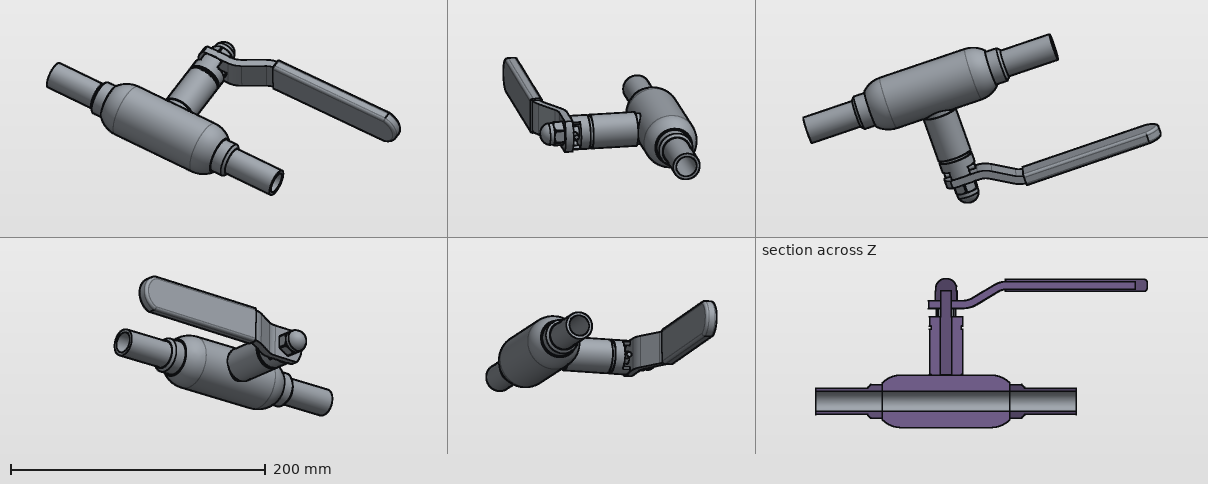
import cadquery as cq
import math


overall_length = 261
overall_width = 118.0

shell_diameter = 42.0
shell_radius = shell_diameter / 2
shell_straight_half = 35.2
shell_half_length = 50.0
pipe_radius = 10.7
bore_radius = 8.0
pipe_end_x = 102.3
collar_radius = 13.5
collar_chamfer = 2.3
collar_end_x = 61.5

neck_diameter = 27.0
neck_radius = neck_diameter / 2
neck_core_radius = 12.3
sleeve_bottom_y = shell_radius
sleeve_top_y = 56.7
head_bottom_y = 59.0
slot_floor_y = 66.5
neck_top_y = 72.8
tab_half_angle = 35
tab_inner_radius = 10.5

stem_radius = 5.0
pin_radius = 1.95
pin_half_length = 12.5
pin_y = 70.2

lever_thickness = 6.3
lever_width = 25.3
lever_half_width = lever_width / 2
lever_nose_x = -14.0
lever_shoulder_x = -9.1
lever_rise = 15.1
bend_angle = 31
bend_start_x = 18.0
bend_inner_radius = 14.5
lever_swing = 0.8

grip_thickness = 9.7
grip_width = 28.5
grip_half_width = grip_width / 2
grip_start_x = 46.5
grip_round_x = 148.5
grip_tip_x = overall_length - pipe_end_x
grip_edge_radius = 2.3

nut_half_flats = 8.5
nut_corner_radius = 9.7
nut_corner_drop = 1.0
nut_hex_height = 7.8
nut_collar_height = 3.5
nut_top_y = overall_width - shell_radius

lever_top_y = neck_top_y + lever_thickness
lever_mid_y = neck_top_y + lever_thickness / 2
grip_mid_y = lever_mid_y + lever_rise
hex_top_y = lever_top_y + nut_hex_height
dome_base_y = hex_top_y + nut_collar_height


def cylinder_y(radius, y_start, y_end):
    """Cylinder on the stem axis."""
    return cq.Workplane("XZ", origin=(0, y_start, 0)).circle(radius).extrude(y_start - y_end)


def cylinder_x(radius, half_length, y=0):
    """Cylinder along X, centred on the stem axis at height y."""
    return cq.Workplane("YZ").center(y, 0).circle(radius).extrude(half_length, both=True)


def swing(body):
    """Turn a lever part about the stem axis, raising its free end."""
    return body.rotate((0, 0, 0), (0, 1, 0), -lever_swing)


def make_shell():
    """Round housing with spherical shoulders and a straight bore."""
    shoulder = shell_half_length - shell_straight_half
    end_radius = math.sqrt(shell_radius**2 - shoulder**2)
    mid_x = shoulder / 2
    mid_radius = math.sqrt(shell_radius**2 - mid_x**2)
    return (
        cq.Workplane("XY")
        .moveTo(-shell_half_length, bore_radius)
        .lineTo(-shell_half_length, end_radius)
        .threePointArc((-shell_straight_half - mid_x, mid_radius), (-shell_straight_half, shell_radius))
        .lineTo(shell_straight_half, shell_radius)
        .threePointArc((shell_straight_half + mid_x, mid_radius), (shell_half_length, end_radius))
        .lineTo(shell_half_length, bore_radius)
        .close()
        .revolve(360, (0, 0, 0), (1, 0, 0))
    )


def make_pipe_end(side):
    """Pipe with a chamfered collar against the shell; side is -1 or +1 along X."""
    outline = [
        (shell_half_length, bore_radius),
        (shell_half_length, collar_radius),
        (collar_end_x - collar_chamfer, collar_radius),
        (collar_end_x, collar_radius - collar_chamfer),
        (collar_end_x, pipe_radius),
        (pipe_end_x, pipe_radius),
        (pipe_end_x, bore_radius),
    ]
    points = [(side * x, radius) for x, radius in outline]
    return cq.Workplane("XY").polyline(points).close().revolve(360, (0, 0, 0), (1, 0, 0))


def make_neck():
    """Neck saddled on the shell, with a groove and two radially cut tabs standing around the pin."""
    neck = (
        cylinder_y(neck_core_radius, 0, head_bottom_y)
        .union(cylinder_y(neck_radius, sleeve_bottom_y, sleeve_top_y))
        .union(cylinder_y(neck_radius, head_bottom_y, slot_floor_y))
        .cut(cylinder_x(shell_radius, shell_half_length))
    )
    tab_height = neck_top_y - slot_floor_y
    reach = 2 * neck_radius
    spread = reach * math.tan(math.radians(tab_half_angle))
    tab_wedges = (
        cq.Workplane("XZ", origin=(0, slot_floor_y, 0))
        .polyline([(0, 0), (spread, reach), (-spread, reach)])
        .close()
        .polyline([(0, 0), (spread, -reach), (-spread, -reach)])
        .close()
        .extrude(-tab_height)
    )
    tabs = (
        cylinder_y(neck_radius, slot_floor_y, neck_top_y)
        .cut(cylinder_y(tab_inner_radius, slot_floor_y, neck_top_y))
        .intersect(tab_wedges)
    )
    return neck.union(tabs).cut(cylinder_y(stem_radius, sleeve_bottom_y, neck_top_y))


def make_stem():
    """Round stem from the foot of the neck up into the nut, cross-drilled for the pin."""
    stem = cylinder_y(stem_radius, sleeve_bottom_y, hex_top_y)
    return stem.cut(cylinder_x(pin_radius, pin_half_length, pin_y))


def make_pin():
    """Cross pin through the stem."""
    return cylinder_x(pin_radius, pin_half_length, pin_y)


def make_lever():
    """Flat bar with a double bend and a rounded nose."""
    half = lever_thickness / 2
    run = lever_rise / math.tan(math.radians(bend_angle))
    miter = half * math.tan(math.radians(bend_angle / 2))
    bend_end_x = bend_start_x + run
    edge = [
        (lever_nose_x, lever_mid_y),
        (bend_start_x, lever_mid_y),
        (bend_end_x, grip_mid_y),
        (grip_round_x, grip_mid_y),
    ]
    shifts = [0, miter, miter, 0]
    upper = [(x - shift, y + half) for (x, y), shift in zip(edge, shifts)]
    lower = [(x + shift, y - half) for (x, y), shift in zip(edge, shifts)]
    bar = (
        cq.Workplane("XY")
        .polyline(upper + lower[::-1])
        .close()
        .extrude(lever_half_width, both=True)
    )
    outer_radius = bend_inner_radius + lever_thickness
    bends = [
        (upper[1], bend_inner_radius),
        (lower[1], outer_radius),
        (upper[2], outer_radius),
        (lower[2], bend_inner_radius),
    ]
    for (x, y), radius in bends:
        bar = bar.edges(cq.selectors.NearestToPointSelector((x, y, 0))).fillet(radius)
    plan = (
        cq.Workplane("XZ", origin=(0, neck_top_y, 0))
        .moveTo(lever_shoulder_x, -lever_half_width)
        .threePointArc((lever_nose_x, 0), (lever_shoulder_x, lever_half_width))
        .lineTo(grip_round_x, lever_half_width)
        .lineTo(grip_round_x, -lever_half_width)
        .close()
        .extrude(-lever_rise - 2 * lever_thickness)
    )
    bar = bar.intersect(plan)
    return swing(bar).cut(cylinder_y(stem_radius, neck_top_y, lever_top_y))


def make_grip(lever):
    """Sleeve with a bowed tip and rounded long edges, pocketed for the lever."""
    grip = (
        cq.Workplane("XZ", origin=(0, grip_mid_y, 0))
        .moveTo(grip_start_x, -grip_half_width)
        .lineTo(grip_round_x, -grip_half_width)
        .threePointArc((grip_tip_x, 0), (grip_round_x, grip_half_width))
        .lineTo(grip_start_x, grip_half_width)
        .close()
        .extrude(grip_thickness / 2, both=True)
    )
    rim = grip.faces("<Y or >Y").edges("not <X")
    return swing(rim.fillet(grip_edge_radius)).cut(lever)


def make_nut():
    """Hexagonal cap nut with trimmed corners, a round collar and a dome."""
    corner_trim = (
        cylinder_y(nut_corner_radius, lever_top_y, hex_top_y)
        .faces(">Y")
        .chamfer(nut_corner_drop, nut_corner_radius - nut_half_flats)
    )
    hexagon = (
        cq.Workplane("XZ", origin=(0, lever_top_y, 0))
        .transformed(rotate=(0, 0, 30))
        .polygon(6, 2 * nut_half_flats / math.cos(math.pi / 6))
        .extrude(-nut_hex_height)
        .intersect(corner_trim)
    )
    dome_height = nut_top_y - dome_base_y
    dome_radius = (nut_half_flats**2 + dome_height**2) / (2 * dome_height)
    dome_mid_x = nut_half_flats / 2
    dome_mid_y = nut_top_y - dome_radius + math.sqrt(dome_radius**2 - dome_mid_x**2)
    cap = (
        cq.Workplane("XY")
        .moveTo(0, hex_top_y)
        .lineTo(nut_half_flats, hex_top_y)
        .lineTo(nut_half_flats, dome_base_y)
        .threePointArc((dome_mid_x, dome_mid_y), (0, nut_top_y))
        .close()
        .revolve(360, (0, 0, 0), (0, 1, 0))
    )
    return hexagon.union(cap).cut(cylinder_y(stem_radius, lever_top_y, hex_top_y))


shell = make_shell()
pipe_ends = [make_pipe_end(side) for side in (-1, 1)]
neck = make_neck()
stem = make_stem()
pin = make_pin()
lever = make_lever()
grip = make_grip(lever)
nut = make_nut()

result = cq.Compound.makeCompound([
    shell.val(),
    *[pipe_end.val() for pipe_end in pipe_ends],
    neck.val(),
    stem.val(),
    pin.val(),
    lever.val(),
    grip.val(),
    nut.val(),
])